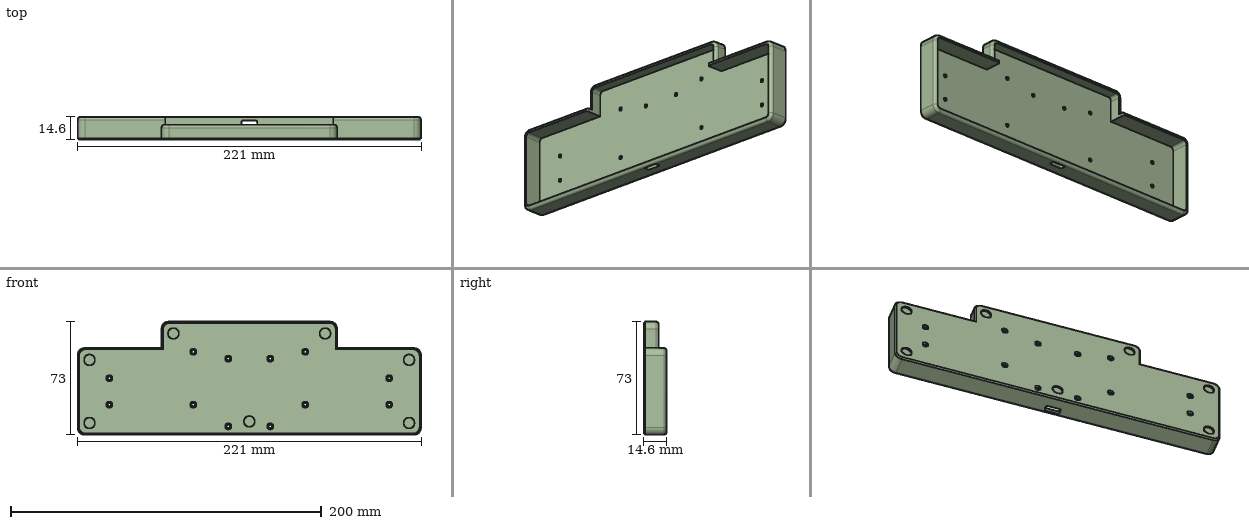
import cadquery as cq
import math

WIDTH = 221.0
MAIN_DEPTH = 56.0
TOTAL_DEPTH = 73.0
MAIN_HEIGHT = 14.6
TONGUE_WIDTH = 113.0
TONGUE_HEIGHT = 9.6
WALL = 2.5
FLOOR = 2.0
CORNER_RADIUS = 4.8
RIM_FILLET = 2.0
FLOOR_CHAMFER = 1.0
OPENING_END_FILLET = 1.4

FOOT_DIAMETER = 7.0
FOOT_RECESS = 1.0
FOOT_INSET = 7.7
MIDDLE_FOOT_Z = 8.7

SCREW_DIAMETER = 2.2
SCREW_HEAD_DIAMETER = 4.0
COUNTERSINK_ANGLE = 90.0
KEY_SPACING = 18.0
OUTER_SCREW_X = 5 * KEY_SPACING
INNER_SCREW_X = 2 * KEY_SPACING
MIDDLE_SCREW_X = 13.5
LOW_SCREW_Z = 19.5
OUTER_SCREW_Z = 36.5
INNER_SCREW_Z = 53.5
MIDDLE_SCREW_ZS = (5.5, 49.1)

SLOT_WIDTH = 10.0
SLOT_HEIGHT = 4.0
SLOT_TOP = 12.2
SLOT_CORNER_RADIUS = 1.0


def rounded_block(width, depth, height, radius, floor=0.0):
    """Block centred on X, over the Z range `depth`, from Y = `floor` to Y = `height`."""
    near, far = depth
    block = cq.Workplane("XY").box(width, height - floor, far - near, centered=(True, False, False))
    return block.translate((0, floor, near)).edges("|Y").fillet(radius)


def make_shell():
    """Open tray: a wide main box and a lower, narrower tongue sharing one floor."""
    main = rounded_block(WIDTH, (0, MAIN_DEPTH), MAIN_HEIGHT, CORNER_RADIUS)
    tongue = rounded_block(TONGUE_WIDTH, (0, TOTAL_DEPTH), TONGUE_HEIGHT, CORNER_RADIUS)
    main = main.faces(">Y").edges().fillet(RIM_FILLET)
    tongue = tongue.faces(">Y").edges().fillet(RIM_FILLET)
    body = main.union(tongue).faces("<Y").edges().chamfer(FLOOR_CHAMFER)

    inner_radius = CORNER_RADIUS - WALL
    main_cavity = rounded_block(
        WIDTH - 2 * WALL, (WALL, MAIN_DEPTH - WALL), MAIN_HEIGHT, inner_radius, FLOOR
    )
    tongue_cavity = rounded_block(
        TONGUE_WIDTH - 2 * WALL, (WALL, TOTAL_DEPTH - WALL), MAIN_HEIGHT, inner_radius, FLOOR
    )
    shell = body.cut(main_cavity).cut(tongue_cavity)
    return round_opening_ends(shell)


def round_opening_ends(shell):
    """Round the top edges of the two main-box wall ends beside the tongue opening."""
    end_x = TONGUE_WIDTH / 2 - WALL
    radius = OPENING_END_FILLET
    profile = (
        cq.Workplane("XY", origin=(0, 0, MAIN_DEPTH - WALL))
        .moveTo(-end_x - radius, MAIN_HEIGHT)
        .radiusArc((-end_x, MAIN_HEIGHT - radius), radius)
        .lineTo(end_x, MAIN_HEIGHT - radius)
        .radiusArc((end_x + radius, MAIN_HEIGHT), radius)
        .close()
    )
    return shell.cut(profile.extrude(WALL))


def foot_positions():
    main_x = WIDTH / 2 - FOOT_INSET
    tongue_x = TONGUE_WIDTH / 2 - FOOT_INSET
    positions = [(0, MIDDLE_FOOT_Z)]
    for side in (-1, 1):
        positions.append((side * main_x, FOOT_INSET))
        positions.append((side * main_x, MAIN_DEPTH - FOOT_INSET))
        positions.append((side * tongue_x, TOTAL_DEPTH - FOOT_INSET))
    return positions


def screw_positions():
    positions = []
    for side in (-1, 1):
        for z in (LOW_SCREW_Z, OUTER_SCREW_Z):
            positions.append((side * OUTER_SCREW_X, z))
        for z in (LOW_SCREW_Z, INNER_SCREW_Z):
            positions.append((side * INNER_SCREW_X, z))
        for z in MIDDLE_SCREW_ZS:
            positions.append((side * MIDDLE_SCREW_X, z))
    return positions


def cut_feet(body):
    recesses = cq.Workplane("XZ").pushPoints(foot_positions()).circle(FOOT_DIAMETER / 2)
    return body.cut(recesses.extrude(-FOOT_RECESS))


def cut_screws(body):
    head_radius = SCREW_HEAD_DIAMETER / 2
    hole_radius = SCREW_DIAMETER / 2
    sink_depth = (head_radius - hole_radius) / math.tan(math.radians(COUNTERSINK_ANGLE / 2))
    profile = [(0, 0), (head_radius, 0), (hole_radius, sink_depth), (hole_radius, FLOOR), (0, FLOOR)]
    screw = cq.Workplane("XY").polyline(profile).close().revolve(360, (0, 0), (0, 1))
    for x, z in screw_positions():
        body = body.cut(screw.translate((x, 0, z)))
    return body


def cut_slot(body):
    slot = cq.Workplane("XY").box(SLOT_WIDTH, SLOT_HEIGHT, 2 * WALL)
    slot = slot.edges("|Z").fillet(SLOT_CORNER_RADIUS)
    return body.cut(slot.translate((0, SLOT_TOP - SLOT_HEIGHT / 2, 0)))


result = cut_slot(cut_screws(cut_feet(make_shell())))